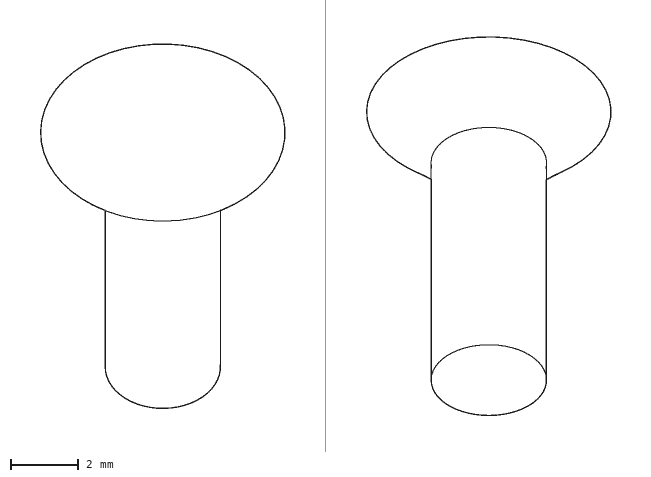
import cadquery as cq

total_length = 10.0
head_diameter = 7.2
shank_diameter = 3.4

head_radius = head_diameter / 2
shank_radius = shank_diameter / 2

head_height = head_radius - shank_radius
shank_length = total_length - head_height

result = (
    cq.Workplane("XZ")
    .moveTo(0, 0)
    .lineTo(shank_radius, 0)
    .lineTo(shank_radius, shank_length)
    .lineTo(head_radius, total_length)
    .lineTo(0, total_length)
    .close()
    .revolve(360, (0, 0, 0), (0, 1, 0))
)